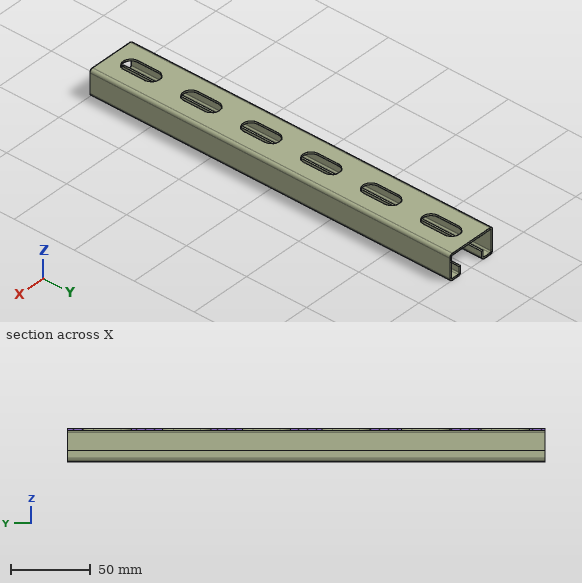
import cadquery as cq

width = 41.0
length = 300.0
height = 21.0

thickness = 1.5
bend_outer_radius = 2.5
bend_inner_radius = bend_outer_radius - thickness

opening_width = 20.0
flange_width = (width - opening_width) / 2
lip_height = 7.0

slot_count = 6
slot_pitch = length / slot_count
slot_length = 30.0
slot_width = 13.0


def bar_from_bottom(bar_width, bar_height, center_x, base_z):
    """Full-length bar along Y, standing on the level base_z."""
    bar = cq.Workplane("XY").box(bar_width, length, bar_height, centered=(True, True, False))
    return bar.translate((center_x, 0, base_z))


def closed_tube():
    """Thin-walled rectangular tube with concentric bends."""
    outside = bar_from_bottom(width, height, 0, -height / 2)
    outside = outside.edges("|Y").fillet(bend_outer_radius)
    bore = bar_from_bottom(width - 2 * thickness, height - 2 * thickness, 0, thickness - height / 2)
    bore = bore.edges("|Y").fillet(bend_inner_radius)
    return outside.cut(bore)


def lip_trough(side):
    """Bottom flange between its two bends, with the upturned lip; side is -1 or 1."""
    center_x = side * (width - flange_width) / 2
    floor_z = -height / 2
    outside = bar_from_bottom(flange_width, lip_height, center_x, floor_z)
    outside = outside.faces("<Z").edges("|Y").fillet(bend_outer_radius)
    hollow = bar_from_bottom(flange_width - 2 * thickness, lip_height, center_x, floor_z + thickness)
    hollow = hollow.faces("<Z").edges("|Y").fillet(bend_inner_radius)
    return outside.cut(hollow)


def channel():
    """Tube with its floor removed between the outer bends, then closed by the two lip troughs."""
    floor_width = width - 2 * bend_outer_radius
    floor = bar_from_bottom(floor_width, thickness, 0, -height / 2)
    return closed_tube().cut(floor).union(lip_trough(-1)).union(lip_trough(1))


def web_slots():
    """Row of round-ended slots, one in the middle of each pitch."""
    return (
        cq.Workplane("XY")
        .rarray(slot_pitch, slot_pitch, 1, slot_count)
        .slot2D(slot_length, slot_width, 90)
        .extrude(height)
    )


result = channel().cut(web_slots()).clean()